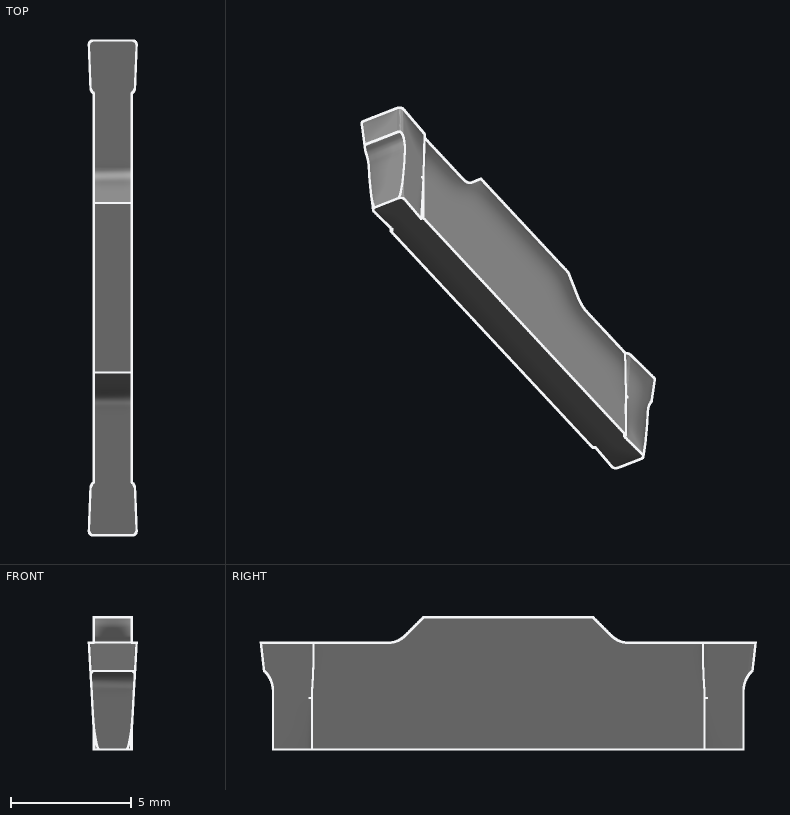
import cadquery as cq
import math

length = 20.6
head_width = 2.0
height = 5.51

body_width = 1.6
body_length = 16.34
hump_root_length = 10.0
hump_root_radius = 1.0
hump_slope = math.radians(45)
shoulder_height = 4.45

corner_radius = 0.19
end_draft = math.radians(6.5)
side_draft = math.radians(3.2)
back_taper = math.radians(2.2)
blend_radius = 0.33
blend_slant = math.radians(2.0)
blend_start = 1.94
blend_depth = 2.3
head_root = 2.14

lip_depth = 1.18
relief_radius = 1.2
relief_angle = math.radians(45)


def make_body():
    """Plate with a hump whose 45 degree flanks run into the shoulders through arcs."""
    end = body_length / 2
    root = hump_root_length / 2
    arc_y = root - hump_root_radius * math.sin(hump_slope)
    arc_z = shoulder_height + hump_root_radius * (1 - math.cos(hump_slope))
    mid_y = root - hump_root_radius * math.sin(hump_slope / 2)
    mid_z = shoulder_height + hump_root_radius * (1 - math.cos(hump_slope / 2))
    crest = arc_y - (height - arc_z) / math.tan(hump_slope)
    return (
        cq.Workplane("YZ")
        .moveTo(-end, 0)
        .lineTo(end, 0)
        .lineTo(end, shoulder_height)
        .lineTo(root, shoulder_height)
        .threePointArc((mid_y, mid_z), (arc_y, arc_z))
        .lineTo(crest, height)
        .lineTo(-crest, height)
        .lineTo(-arc_y, arc_z)
        .threePointArc((-mid_y, mid_z), (-root, shoulder_height))
        .lineTo(-end, shoulder_height)
        .close()
        .extrude(body_width / 2, both=True)
    )


def head_section(depth, blended):
    """Plan outline of the -Y head at a depth below the rake face."""
    end = -length / 2 + depth * math.tan(end_draft)
    half = head_width / 2 - depth * math.tan(side_draft)
    corner_y = end + corner_radius
    corner_x = half - corner_radius
    bulge = corner_radius * (1 - math.sqrt(0.5))
    root = -length / 2 + head_root

    def side_x(y):
        return half - (y - corner_y) * math.tan(back_taper)

    outline = (
        cq.Workplane("XY", origin=(0, 0, shoulder_height - depth))
        .moveTo(-corner_x, end)
        .lineTo(corner_x, end)
        .threePointArc((half - bulge, end + bulge), (half, corner_y))
    )
    if not blended:
        outline = outline.lineTo(side_x(root), root).lineTo(-side_x(root), root)
    else:
        start = -length / 2 + blend_start + depth * math.tan(blend_slant)
        outer = side_x(start)
        inner = outer - blend_radius
        mid_x = inner + blend_radius * math.sqrt(0.5)
        mid_y = start + blend_radius * math.sqrt(0.5)
        stop = start + blend_radius
        outline = (
            outline.lineTo(outer, start)
            .threePointArc((mid_x, mid_y), (inner, stop))
            .lineTo(-inner, stop)
            .threePointArc((-mid_x, mid_y), (-outer, start))
        )
    outline = outline.lineTo(-half, corner_y)
    return outline.threePointArc((-half + bulge, end + bulge), (-corner_x, end)).close().val()


def head_layer(top_depth, bottom_depth, blended):
    """Drafted slice of the head between two depths."""
    wires = [head_section(depth, blended) for depth in (top_depth, bottom_depth)]
    return cq.Workplane(obj=cq.Solid.makeLoft(wires, True))


def lip_relief():
    """Cutter that clears the head end below the lip: an arc running into a vertical face."""
    face_y = -length / 2 + shoulder_height * math.tan(end_draft)
    arc_z = shoulder_height - lip_depth - relief_radius * math.sin(relief_angle)

    def arc_point(angle):
        y = face_y - relief_radius * (1 - math.cos(angle))
        return y, arc_z + relief_radius * math.sin(angle)

    lip_y, lip_z = arc_point(relief_angle)
    outside = -length / 2 - corner_radius
    return (
        cq.Workplane("YZ")
        .moveTo(face_y, 0)
        .lineTo(face_y, arc_z)
        .threePointArc(arc_point(relief_angle / 2), (lip_y, lip_z))
        .lineTo(outside, lip_z)
        .lineTo(outside, 0)
        .close()
        .extrude(head_width, both=True)
    )


def make_head():
    """Complete head for the -Y end."""
    upper = head_layer(0, blend_depth, True)
    lower = head_layer(blend_depth, shoulder_height, False)
    return upper.union(lower).cut(lip_relief())


head = make_head()
result = make_body().union(head).union(head.mirror("XZ"))